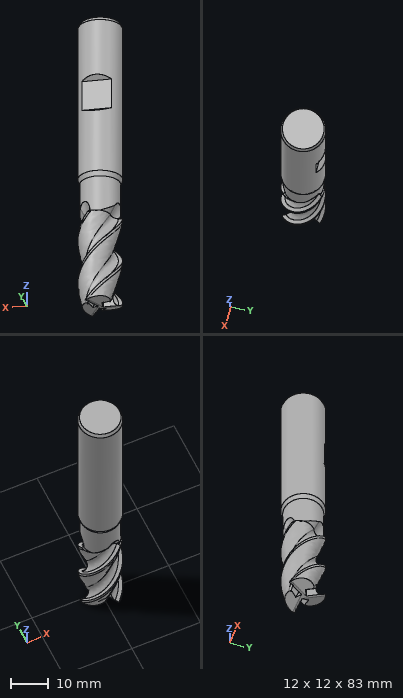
import cadquery as cq
import math

TOTAL_LENGTH = 83.0
SHANK_DIAMETER = 12.0
NECK_DIAMETER = 10.95
CUTTER_LENGTH = 26.0
NECK_TOP = 36.1
SHOULDER_TOP = 37.5
TOP_CHAMFER_HEIGHT = 1.0
TOP_CHAMFER_WIDTH = 0.5

FLAT_DISTANCE = 4.5
FLAT_CENTER_Z = 60.6
FLAT_LENGTH = 8.5
FLAT_OPENING_LENGTH = 10.6

TOOTH_COUNT = 3
TOOTH_SPACING = 360.0 / TOOTH_COUNT
CUTTER_RADIUS = 6.0
HELIX_ANGLE = 45.0
HELIX_LEAD = 2 * math.pi * CUTTER_RADIUS / math.tan(math.radians(HELIX_ANGLE))
CUTTER_TWIST = 360.0 * CUTTER_LENGTH / HELIX_LEAD
FIRST_EDGE_ANGLE = 180.0

LAND_ANGLE = 9.5
BACK_MID_RADIUS = 5.2
BACK_MID_ANGLE = 40.0
BACK_END_RADIUS = 4.0
BACK_END_ANGLE = 75.0
CORE_RADIUS = 3.5
GULLET_ANGLE = 100.0
RAKE_FOOT_RADIUS = 4.8
RAKE_FOOT_ANGLE = 121.0

RUNOUT_TOP = 29.5
RUNOUT_TWIST = 5.0

END_LAND_WIDTH = 0.7
END_RELIEF_ANGLE = 15.0
GASH_WIDTH = 2.1
GASH_HEIGHT = 2.9
GASH_START_RADIUS = 0.8
GRIND_REACH = 7.5


def polar(radius, angle):
    """Return the XY point at a radius and an angle in degrees."""
    return (radius * math.cos(math.radians(angle)), radius * math.sin(math.radians(angle)))


def fluted_section(plane, start_angle, scale=1.0):
    """Closed section with land, convex back, concave gullet and rake on each tooth."""
    section = plane.moveTo(*polar(scale * CUTTER_RADIUS, start_angle))
    for tooth in range(TOOTH_COUNT):
        edge = start_angle + tooth * TOOTH_SPACING
        section = section.threePointArc(
            polar(scale * CUTTER_RADIUS, edge + LAND_ANGLE / 2),
            polar(scale * CUTTER_RADIUS, edge + LAND_ANGLE),
        )
        section = section.threePointArc(
            polar(scale * BACK_MID_RADIUS, edge + BACK_MID_ANGLE),
            polar(scale * BACK_END_RADIUS, edge + BACK_END_ANGLE),
        )
        section = section.threePointArc(
            polar(scale * CORE_RADIUS, edge + GULLET_ANGLE),
            polar(scale * RAKE_FOOT_RADIUS, edge + RAKE_FOOT_ANGLE),
        )
        if tooth < TOOTH_COUNT - 1:
            section = section.lineTo(*polar(scale * CUTTER_RADIUS, edge + TOOTH_SPACING))
    return section.close()


def make_shank_blank():
    """Turned shank and neck, with a chamfered top and a conical shoulder."""
    shank_radius = SHANK_DIAMETER / 2
    neck_radius = NECK_DIAMETER / 2
    outline = [
        (0, CUTTER_LENGTH),
        (neck_radius, CUTTER_LENGTH),
        (neck_radius, NECK_TOP),
        (shank_radius, SHOULDER_TOP),
        (shank_radius, TOTAL_LENGTH - TOP_CHAMFER_HEIGHT),
        (shank_radius - TOP_CHAMFER_WIDTH, TOTAL_LENGTH),
        (0, TOTAL_LENGTH),
    ]
    return cq.Workplane("XZ").polyline(outline).close().revolve(360, (0, 0), (0, 1))


def make_clamping_flat():
    """Trapezoidal cutter for the clamping flat."""
    outline = [
        (FLAT_DISTANCE, FLAT_CENTER_Z - FLAT_LENGTH / 2),
        (SHANK_DIAMETER / 2, FLAT_CENTER_Z - FLAT_OPENING_LENGTH / 2),
        (SHANK_DIAMETER / 2, FLAT_CENTER_Z + FLAT_OPENING_LENGTH / 2),
        (FLAT_DISTANCE, FLAT_CENTER_Z + FLAT_LENGTH / 2),
    ]
    return cq.Workplane("YZ").polyline(outline).close().extrude(SHANK_DIAMETER / 2, both=True)


def make_flute_runout():
    """Flutes above the cutter that widen away from the axis until they leave the neck."""
    height = RUNOUT_TOP - CUTTER_LENGTH
    start_angle = FIRST_EDGE_ANGLE + CUTTER_TWIST
    exit_scale = NECK_DIAMETER / 2 / CORE_RADIUS
    base = cq.Workplane("XY").workplane(offset=CUTTER_LENGTH)
    lower_section = fluted_section(base, start_angle)
    upper_plane = lower_section.workplane(offset=height, origin=(0, 0, CUTTER_LENGTH))
    teeth = fluted_section(upper_plane, start_angle + RUNOUT_TWIST, exit_scale).loft(ruled=True)
    return base.circle(CUTTER_RADIUS).extrude(height).cut(teeth)


def make_shank():
    return make_shank_blank().cut(make_clamping_flat()).cut(make_flute_runout())


def make_end_relief():
    """Wedge that bevels the end of a tooth behind an edge lying along +X."""
    rise = (GRIND_REACH - END_LAND_WIDTH) * math.tan(math.radians(END_RELIEF_ANGLE))
    outline = [(END_LAND_WIDTH, 0), (GRIND_REACH, 0), (GRIND_REACH, rise)]
    return cq.Workplane("YZ").polyline(outline).close().extrude(GRIND_REACH)


def make_end_gash():
    """Triangular notch in front of an edge lying along +X."""
    outline = [(0, 0), (0, GASH_HEIGHT), (-GASH_WIDTH, 0)]
    gash = cq.Workplane("YZ").workplane(offset=GASH_START_RADIUS)
    return gash.polyline(outline).close().extrude(GRIND_REACH - GASH_START_RADIUS)


def make_cutter():
    """Helical cutter with an end relief and a gash at every tooth."""
    section = fluted_section(cq.Workplane("XY"), FIRST_EDGE_ANGLE)
    cutter = section.twistExtrude(CUTTER_LENGTH, CUTTER_TWIST)
    for tooth in range(TOOTH_COUNT):
        angle = FIRST_EDGE_ANGLE + tooth * TOOTH_SPACING
        for grind in (make_end_relief(), make_end_gash()):
            cutter = cutter.cut(grind.rotate((0, 0, 0), (0, 0, 1), angle))
    return cutter


shank = make_shank()
cutter = make_cutter()

result = cq.Compound.makeCompound([shank.val(), cutter.val()])